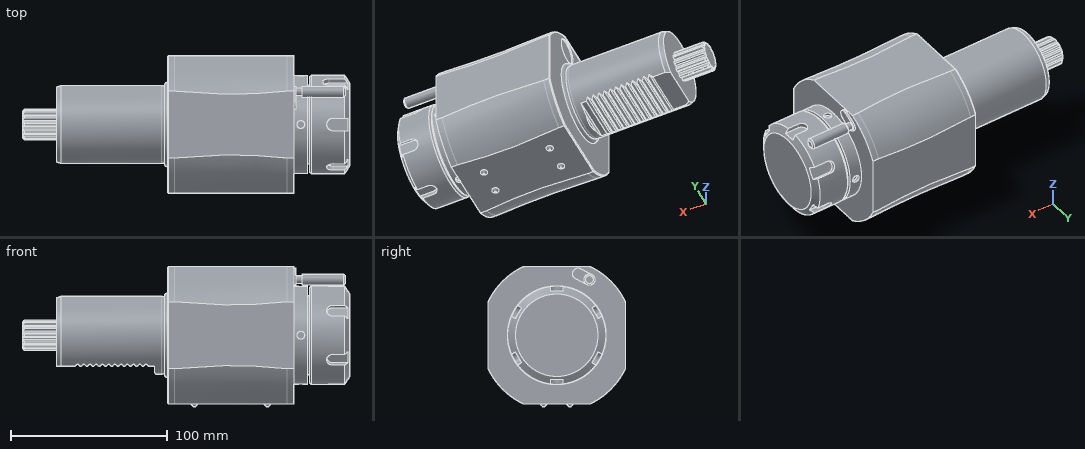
import cadquery as cq
import math


housing_length = 80.7
housing_width = 88.0
housing_end_radius = 49.0
housing_waist_radius = 48.0
housing_land = 4.4
housing_edge = 0.6

shank_diameter = 50.0
shank_length = 71.0
shank_chamfer_length = 3.1
shank_chamfer_depth = 1.0
relief_start = 3.8
relief_depth = 0.31
seal_radius = 2.0

flat_height = 19.9
flat_end = 8.4
shoulder_chamfer = 1.0
groove_count = 12
groove_pitch = 4.0
groove_first = 57.5
groove_depth = 1.5
groove_half_width = 1.7

spline_length = 21.5
spline_teeth = 12
spline_tip_radius = 9.8
spline_root_radius = 8.2
spline_chamfer = 1.3
tip_share = 0.3
root_share = 0.3

collar_radius = 31.4
collar_length = 8.8
collar_hole_radius = 2.5
collar_hole_depth = 2.0
collar_hole_count = 4
neck_radius = 25.3
neck_length = 1.0
nut_radius = 31.5
nut_length = 26.0
nut_back_chamfer = 1.3
nut_front_chamfer_length = 3.3
nut_front_chamfer_depth = 5.2
nut_slot_count = 6
nut_slot_width = 8.0
nut_slot_length = 14.8
long_slot_length = 17.4
long_slot_angle = -60
nut_slot_floor = 28.2

pin_y = 21.0
pin_z = 35.5
pin_radius = 3.5
pin_start = 5.2
pin_length = 27.5
pin_chamfer = 1.0
pin_neck_radius = 2.5
plate_end_y = 13.5
plate_end_z = 39.3
plate_thickness = 1.3

recess_y = 18.5
recess_z = 32.0
recess_radius = 8.5
recess_depth = 0.8

stud_x = (17.1, 63.8)
stud_y = 8.4
stud_height = 1.7
stud_base_radius = 2.3
stud_tip_radius = 0.6

half_width = housing_width / 2
shank_radius = shank_diameter / 2
collar_end = housing_length + collar_length
nut_start = collar_end + neck_length
nut_end = nut_start + nut_length
overlap = 2.0


def turned(profile):
    """Revolve a closed (x, radius) profile about the X axis."""
    return profile.close().revolve(360, (0, 0, 0), (1, 0, 0))


def rod(start, length, radius, y=0.0, z=0.0):
    """Cylinder along +X starting at x = start."""
    return cq.Workplane("YZ", origin=(start, y, z)).circle(radius).extrude(length)


def make_housing():
    block = cq.Workplane("XY").box(housing_length, housing_width, housing_width)
    block = block.translate((housing_length / 2, 0, 0))
    block = block.faces("<X").edges().chamfer(housing_edge)
    turning = turned(
        cq.Workplane("XY")
        .lineTo(0, housing_end_radius - housing_edge)
        .lineTo(housing_edge, housing_end_radius)
        .lineTo(housing_land, housing_end_radius)
        .threePointArc(
            (housing_length / 2, housing_waist_radius),
            (housing_length - housing_land, housing_end_radius),
        )
        .lineTo(housing_length, housing_end_radius)
        .lineTo(housing_length, 0)
    )
    recess = rod(0, recess_depth, recess_radius, recess_y, recess_z)
    return block.intersect(turning).cut(recess)


def make_studs():
    cone = cq.Solid.makeCone(
        stud_base_radius, stud_tip_radius, stud_height,
        pnt=cq.Vector(0, 0, -half_width), dir=cq.Vector(0, 0, -1),
    )
    studs = cq.Workplane("XY")
    for x in stud_x:
        for y in (-stud_y, stud_y):
            studs = studs.add(cone.translate(cq.Vector(x, y, 0)))
    return studs.combine()


def make_shank():
    shank = turned(
        cq.Workplane("XY")
        .moveTo(-shank_length, 0)
        .lineTo(-shank_length, shank_radius - shank_chamfer_depth)
        .lineTo(-shank_length + shank_chamfer_length, shank_radius)
        .lineTo(-relief_start, shank_radius)
        .lineTo(-seal_radius, shank_radius - relief_depth)
        .lineTo(-seal_radius, shank_radius)
        .radiusArc((0, shank_radius + seal_radius), seal_radius)
        .lineTo(overlap, shank_radius)
        .lineTo(overlap, 0)
    )
    flat_cut = (
        cq.Workplane("XZ")
        .moveTo(-shank_length, -flat_height)
        .lineTo(-flat_end, -flat_height)
        .lineTo(-flat_end, -shank_radius + shoulder_chamfer)
        .lineTo(-flat_end + shoulder_chamfer, -shank_radius)
        .lineTo(-flat_end + shoulder_chamfer, -housing_width)
        .lineTo(-shank_length, -housing_width)
        .close()
        .extrude(shank_radius, both=True)
    )
    shank = shank.cut(flat_cut)
    for index in range(groove_count):
        x = -groove_first + index * groove_pitch
        groove = (
            cq.Workplane("XZ")
            .moveTo(x - groove_half_width, -flat_height)
            .lineTo(x, -flat_height + groove_depth)
            .lineTo(x + groove_half_width, -flat_height)
            .close()
            .extrude(shank_radius, both=True)
        )
        shank = shank.cut(groove)
    return shank


def make_spline():
    pitch = 2 * math.pi / spline_teeth
    points = []
    for tooth in range(spline_teeth):
        for radius, offset in (
            (spline_root_radius, -(1 - root_share) / 2),
            (spline_tip_radius, -tip_share / 2),
            (spline_tip_radius, tip_share / 2),
            (spline_root_radius, (1 - root_share) / 2),
        ):
            angle = (tooth + offset) * pitch
            points.append((radius * math.cos(angle), radius * math.sin(angle)))
    start = -shank_length - spline_length
    toothed = cq.Workplane("YZ", origin=(start, 0, 0)).polyline(points).close()
    toothed = toothed.extrude(spline_length + overlap)
    blank = rod(start, spline_length + overlap, spline_tip_radius)
    return toothed.intersect(blank.faces("<X").chamfer(spline_chamfer))


def make_collar():
    collar = rod(housing_length - overlap, collar_length + overlap, collar_radius)
    hole = (
        cq.Workplane("XY")
        .workplane(offset=collar_radius - collar_hole_depth)
        .center(housing_length + collar_length / 2, 0)
        .circle(collar_hole_radius)
        .extrude(2 * collar_hole_depth)
    )
    for index in range(collar_hole_count):
        collar = collar.cut(hole.rotate((0, 0, 0), (1, 0, 0), index * 360 / collar_hole_count))
    return collar.union(rod(collar_end - overlap, neck_length + 2 * overlap, neck_radius))


def make_nut_slot(length):
    """Cutter for one spanner slot on the +Z side, round at its blind end."""
    start = nut_end - length
    half_slot = nut_slot_width / 2
    return (
        cq.Workplane("XY")
        .workplane(offset=nut_slot_floor)
        .moveTo(nut_end, half_slot)
        .lineTo(start + half_slot, half_slot)
        .threePointArc((start, 0), (start + half_slot, -half_slot))
        .lineTo(nut_end, -half_slot)
        .close()
        .extrude(nut_radius - nut_slot_floor)
    )


def make_nut():
    nut = turned(
        cq.Workplane("XY")
        .moveTo(nut_start, 0)
        .lineTo(nut_start, nut_radius - nut_back_chamfer)
        .lineTo(nut_start + nut_back_chamfer, nut_radius)
        .lineTo(nut_end - nut_front_chamfer_length, nut_radius)
        .lineTo(nut_end, nut_radius - nut_front_chamfer_depth)
        .lineTo(nut_end, 0)
    )
    slot = make_nut_slot(nut_slot_length)
    for index in range(nut_slot_count):
        nut = nut.cut(slot.rotate((0, 0, 0), (1, 0, 0), index * 360 / nut_slot_count))
    long_slot = make_nut_slot(long_slot_length)
    nut = nut.cut(long_slot.rotate((0, 0, 0), (1, 0, 0), long_slot_angle))
    return nut


def make_pin():
    run_y = plate_end_y - pin_y
    run_z = plate_end_z - pin_z
    plate = (
        cq.Workplane("YZ", origin=(housing_length - overlap, 0, 0))
        .center((pin_y + plate_end_y) / 2, (pin_z + plate_end_z) / 2)
        .slot2D(math.hypot(run_y, run_z) + 2 * pin_radius, 2 * pin_radius,
                math.degrees(math.atan2(run_z, run_y)))
        .extrude(overlap + plate_thickness)
    )
    neck = rod(housing_length, pin_start + overlap, pin_neck_radius, pin_y, pin_z)
    pin = rod(housing_length + pin_start, pin_length, pin_radius, pin_y, pin_z)
    return plate.union(neck).union(pin.faces(">X").chamfer(pin_chamfer))


result = make_housing()
for piece in (make_studs(), make_shank(), make_spline(), make_collar(), make_nut(), make_pin()):
    result = result.union(piece)